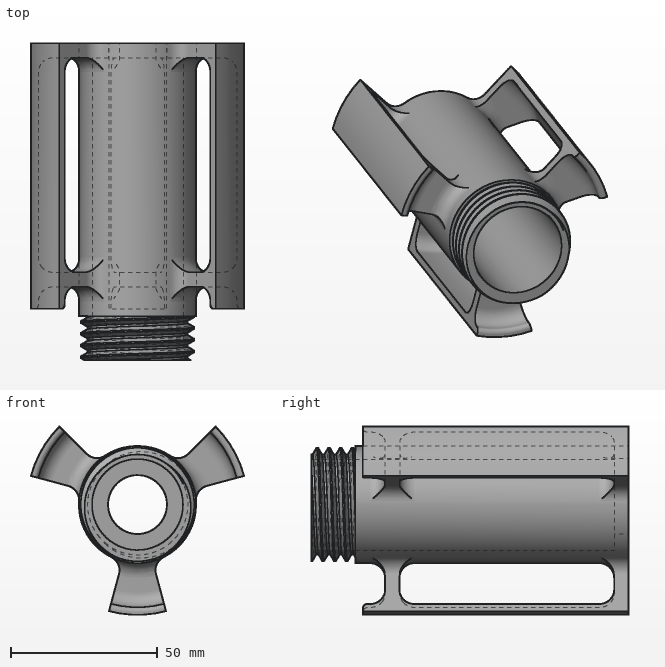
import cadquery as cq
import math


total_length = 108.0
body_radius = 20.0
bore_radius = 31.0 / 2
end_hole_radius = 20.0 / 2
end_wall = 5.0

thread_length = 15.0
thread_crest_radius = 38.7 / 2
thread_root_radius = 34.1 / 2
thread_pitch = 4.0
thread_crest_width = 0.5
thread_flank_angle = 30.0
thread_overlap = 0.3
thread_turns = 6
lead_in_turns = 2
thread_crest_height = 3.0

fin_count = 3
fin_angle = 30.0
fin_outer_radius = 37.6
bar_inner_radius = 35.0
bar_length = 90.5
bar_lip_fillet = 1.6
rib_thickness = 5.0
front_rib_base = 25.1
rib_fillet = 5.0

bar_base = total_length - bar_length
back_rib_base = total_length - rib_thickness
front_rib_top = front_rib_base + rib_thickness

tolerance = 0.01
longest_joint_edge = math.radians(fin_angle) * body_radius + tolerance


def cylinder(radius, base, top):
    """Solid cylinder on the Z axis between two heights."""
    return cq.Workplane("XY").workplane(offset=base).circle(radius).extrude(top - base)


def make_thread():
    """Helical ridge, trimmed flat at both ends of the threaded length."""
    half_crest = thread_crest_width / 2
    sunk_radius = thread_root_radius - thread_overlap
    half_base = half_crest + (thread_crest_radius - sunk_radius) * math.tan(math.radians(thread_flank_angle))
    start = thread_crest_height - lead_in_turns * thread_pitch
    helix = cq.Wire.makeHelix(
        thread_pitch, thread_turns * thread_pitch, thread_root_radius, center=cq.Vector(0, 0, start)
    )
    ridge = (
        cq.Workplane("XZ")
        .moveTo(sunk_radius, start - half_base)
        .lineTo(thread_crest_radius, start - half_crest)
        .lineTo(thread_crest_radius, start + half_crest)
        .lineTo(sunk_radius, start + half_base)
        .close()
        .sweep(cq.Workplane(helix), isFrenet=True)
    )
    return ridge.intersect(cylinder(body_radius, 0, thread_length))


def bar_inner_edges(fin, heights):
    """Arcs on the inner face of the bar at the given heights."""
    return [
        edge
        for edge in fin.edges("%CIRCLE").vals()
        if abs(edge.radius() - bar_inner_radius) < tolerance
        and any(abs(edge.Center().z - height) < tolerance for height in heights)
    ]


def joint_edges(body):
    """Edges where the sides of the ribs meet the body, leaving out the edges of the body itself."""
    return [
        edge
        for edge in body.edges().vals()
        if thread_length + tolerance < edge.Center().z < total_length - tolerance
        and edge.Length() < longest_joint_edge
        and all(
            abs(math.hypot(point.x, point.y) - body_radius) < tolerance
            for point in edge.positions([0, 0.5, 1])
        )
    ]


def make_fin():
    """One fin centred on the +Y direction: a curved bar on two ribs, with radial sides."""
    rib_root_radius = (body_radius + bore_radius) / 2
    fin = (
        cq.Workplane("XZ")
        .moveTo(rib_root_radius, back_rib_base)
        .lineTo(bar_inner_radius, back_rib_base)
        .lineTo(bar_inner_radius, front_rib_top)
        .lineTo(rib_root_radius, front_rib_top)
        .lineTo(rib_root_radius, front_rib_base)
        .lineTo(bar_inner_radius, front_rib_base)
        .lineTo(bar_inner_radius, bar_base)
        .lineTo(fin_outer_radius, bar_base)
        .lineTo(fin_outer_radius, total_length)
        .lineTo(rib_root_radius, total_length)
        .close()
        .revolve(fin_angle, (0, 0, 0), (0, 1, 0))
        .rotate((0, 0, 0), (0, 0, 1), 90 - fin_angle / 2)
    )
    rib_corners = bar_inner_edges(fin, [front_rib_base, front_rib_top, back_rib_base])
    fin = fin.newObject(rib_corners).fillet(rib_fillet)
    lip_edges = bar_inner_edges(fin, [bar_base])
    return fin.newObject(lip_edges).fillet(bar_lip_fillet)


fin = make_fin()
body = cylinder(body_radius, thread_length, total_length)
for index in range(fin_count):
    body = body.union(fin.rotate((0, 0, 0), (0, 0, 1), index * 360 / fin_count))

body = body.newObject(joint_edges(body)).fillet(rib_fillet)

core = cylinder(thread_root_radius, 0, thread_length)
body = body.union(core).union(make_thread())
body = body.cut(cylinder(bore_radius, 0, total_length - end_wall))
body = body.cut(cylinder(end_hole_radius, 0, total_length))

result = body.rotate((0, 0, 0), (1, 0, 0), -90)